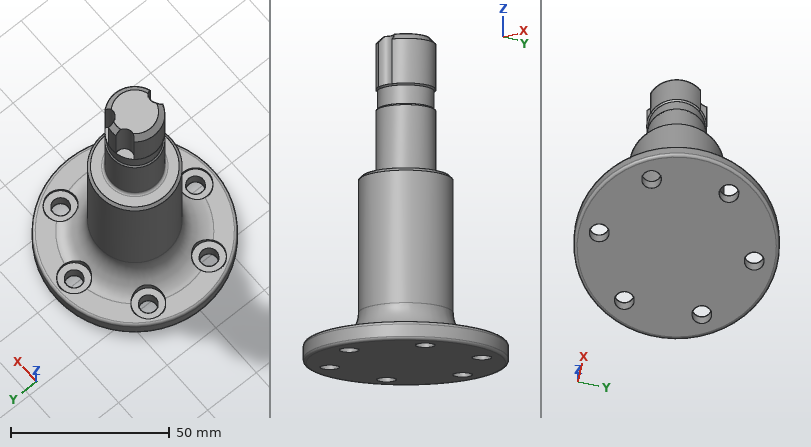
import cadquery as cq
import math

total_height = 105.0
flange_radius = 65.0 / 2
flange_height = 6.0
rim_fillet = 1.0

barrel_radius = 30.0 / 2
barrel_top = 60.0
flare_radius = 10.0
barrel_chamfer = 1.0

shaft_radius = 19.0 / 2
shaft_fillet = 1.0
neck_radius = 18.0 / 2
neck_bottom = 82.0
neck_top = 88.0
neck_chamfer = shaft_radius - neck_radius
tip_chamfer = 2.0

slot_diameter = 6.2
slot_floor = neck_top + neck_chamfer
slot_angles = (-90, 60, 120)

hole_count = 6
first_hole_angle = 30
hole_circle_radius = barrel_radius + flare_radius
hole_diameter = 6.2
counterbore_diameter = 11.0
counterbore_depth = 1.0


def polar_point(radius, angle):
    """Point at a radius and an angle in degrees about the Z axis."""
    return radius * math.cos(math.radians(angle)), radius * math.sin(math.radians(angle))


def cylinders(points, diameter, bottom, top):
    """Upright cylinders between two heights."""
    return (
        cq.Workplane("XY", origin=(0, 0, bottom))
        .pushPoints(points)
        .circle(diameter / 2)
        .extrude(top - bottom)
    )


def make_body():
    """Flange, barrel and shaft turned from one half profile."""
    diagonal = math.sqrt(0.5)
    rim_mid_inset = rim_fillet * (1 - diagonal)
    rim_mid_radius = flange_radius - rim_mid_inset
    flare_mid = (
        barrel_radius + flare_radius * (1 - diagonal),
        flange_height + flare_radius * (1 - diagonal),
    )
    fillet_mid = (
        shaft_radius + shaft_fillet * (1 - diagonal),
        barrel_top + shaft_fillet * (1 - diagonal),
    )
    return (
        cq.Workplane("XZ")
        .lineTo(flange_radius - rim_fillet, 0)
        .threePointArc((rim_mid_radius, rim_mid_inset), (flange_radius, rim_fillet))
        .lineTo(flange_radius, flange_height - rim_fillet)
        .threePointArc(
            (rim_mid_radius, flange_height - rim_mid_inset),
            (flange_radius - rim_fillet, flange_height),
        )
        .lineTo(barrel_radius + flare_radius, flange_height)
        .threePointArc(flare_mid, (barrel_radius, flange_height + flare_radius))
        .lineTo(barrel_radius, barrel_top - barrel_chamfer)
        .lineTo(barrel_radius - barrel_chamfer, barrel_top)
        .lineTo(shaft_radius + shaft_fillet, barrel_top)
        .threePointArc(fillet_mid, (shaft_radius, barrel_top + shaft_fillet))
        .lineTo(shaft_radius, neck_bottom - neck_chamfer)
        .lineTo(neck_radius, neck_bottom)
        .lineTo(neck_radius, neck_top)
        .lineTo(shaft_radius, neck_top + neck_chamfer)
        .lineTo(shaft_radius, total_height - tip_chamfer)
        .lineTo(shaft_radius - tip_chamfer, total_height)
        .lineTo(0, total_height)
        .close()
        .revolve(360, (0, 0), (0, 1))
    )


def make_slots():
    """Cutters centred on the shaft surface, open at the tip."""
    centres = [polar_point(shaft_radius, angle) for angle in slot_angles]
    return cylinders(centres, slot_diameter, slot_floor, total_height)


def make_flange_holes():
    """Through holes with counterbores that also cut into the flare."""
    angle_step = 360 / hole_count
    centres = [
        polar_point(hole_circle_radius, first_hole_angle + index * angle_step)
        for index in range(hole_count)
    ]
    counterbore_floor = flange_height - counterbore_depth
    flare_top = flange_height + flare_radius
    holes = cylinders(centres, hole_diameter, 0, flare_top)
    counterbores = cylinders(centres, counterbore_diameter, counterbore_floor, flare_top)
    return holes.union(counterbores)


result = make_body().cut(make_slots()).cut(make_flange_holes())